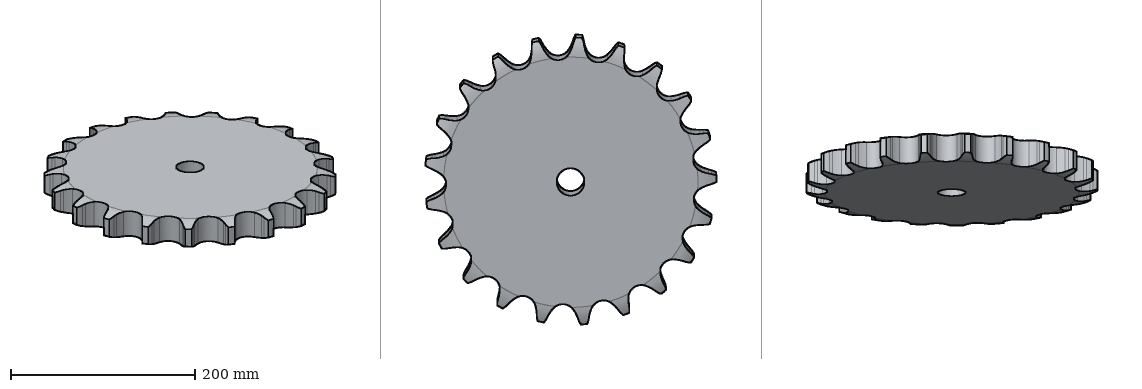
import cadquery as cq
import math

tooth_count = 21
thickness = 29.5
bore_diameter = 30.0
pitch_diameter = 298.2
roller_diameter = 28.0
overall_width = 316.5
relief_start_radius = 138.0
relief_depth = 4.5

tooth_pitch_angle = 360 / tooth_count
pitch_radius = pitch_diameter / 2
seat_radius = 1.005 * roller_diameter / 2
seat_angle = 35 + 60 / tooth_count
working_angle = 18 - 56 / tooth_count
topping_angle = 17 - 64 / tooth_count
working_offset = 0.8 * roller_diameter
working_radius = working_offset + seat_radius
straight_length = roller_diameter * (
    1.4 * math.sin(math.radians(topping_angle)) - 0.8 * math.sin(math.radians(working_angle))
)
topping_radius = roller_diameter * (
    0.8 * math.cos(math.radians(working_angle)) + 1.4 * math.cos(math.radians(topping_angle))
) - working_radius
flank_angle = working_angle - seat_angle
topping_sweep = 35


def shifted(point, distance, angle):
    """Point moved by a distance in the direction of an angle in degrees."""
    direction = math.radians(angle)
    return (point[0] + distance * math.cos(direction), point[1] + distance * math.sin(direction))


def mirrored(point):
    return (-point[0], point[1])


pitch_point = (0, pitch_radius)
root = (0, pitch_radius - seat_radius)
seat_end = shifted(pitch_point, seat_radius, -seat_angle)

working_centre = shifted(pitch_point, working_offset, 180 - seat_angle)
working_middle = shifted(working_centre, working_radius, working_angle / 2 - seat_angle)
working_end = shifted(working_centre, working_radius, flank_angle)

straight_end = shifted(working_end, straight_length, flank_angle + 90)
topping_centre = shifted(straight_end, topping_radius, flank_angle)
topping_middle = shifted(topping_centre, topping_radius, flank_angle + 180 - topping_sweep / 2)
topping_end = shifted(topping_centre, topping_radius, flank_angle + 180 - topping_sweep)

turns_to_x = tooth_count // 4
centre_angle = math.degrees(math.atan2(topping_centre[1], topping_centre[0])) - turns_to_x * tooth_pitch_angle
turned_centre = shifted((0, 0), math.hypot(*topping_centre), centre_angle)
corner_x = overall_width / 2
corner_y = turned_centre[1] + math.sqrt(topping_radius**2 - (corner_x - turned_centre[0]) ** 2)
tip_radius = math.hypot(corner_x, corner_y)


def make_blank():
    """Round plate whose rim curves inwards tangentially from both faces."""
    half_thickness = thickness / 2
    relief_width = tip_radius - relief_start_radius
    relief_radius = (relief_width**2 + relief_depth**2) / (2 * relief_depth)
    relief_centre = (relief_start_radius, half_thickness - relief_radius)
    relief_sweep = math.degrees(math.asin(relief_width / relief_radius))
    relief_middle = shifted(relief_centre, relief_radius, 90 - relief_sweep / 2)
    tip_height = half_thickness - relief_depth
    return (
        cq.Workplane("XZ")
        .moveTo(0, -half_thickness)
        .lineTo(relief_start_radius, -half_thickness)
        .threePointArc((relief_middle[0], -relief_middle[1]), (tip_radius, -tip_height))
        .lineTo(tip_radius, tip_height)
        .threePointArc(relief_middle, (relief_start_radius, half_thickness))
        .lineTo(0, half_thickness)
        .close()
        .revolve(360, (0, 0), (0, 1))
    )


def make_tooth_gap():
    """Cutter for the gap centred on +Y: seat, working curves, straights and topping curves."""
    return (
        cq.Workplane("XY")
        .workplane(offset=-thickness)
        .moveTo(*root)
        .threePointArc(shifted(pitch_point, seat_radius, -(90 + seat_angle) / 2), seat_end)
        .threePointArc(working_middle, working_end)
        .lineTo(*straight_end)
        .threePointArc(topping_middle, topping_end)
        .lineTo(*mirrored(topping_end))
        .threePointArc(mirrored(topping_middle), mirrored(straight_end))
        .lineTo(*mirrored(working_end))
        .threePointArc(mirrored(working_middle), mirrored(seat_end))
        .threePointArc(shifted(pitch_point, seat_radius, (seat_angle - 270) / 2), root)
        .close()
        .extrude(2 * thickness)
    )


result = make_blank()

tooth_gap = make_tooth_gap()
for index in range(tooth_count):
    result = result.cut(tooth_gap.rotate((0, 0, 0), (0, 0, 1), index * tooth_pitch_angle))

bore = cq.Workplane("XY").circle(bore_diameter / 2).extrude(thickness, both=True)
result = result.cut(bore)